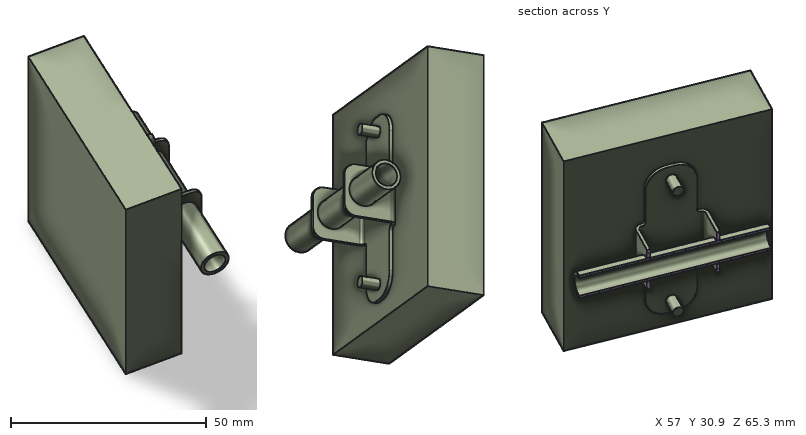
import cadquery as cq

block_width = 57.0
block_depth = 15.9
block_height = 65.3

total_depth = 30.9
sheet = 1.0
bracket_x = -0.6
bracket_z = -2.5
bracket_width = 20.05
bracket_reach = total_depth - block_depth
bend_outer_radius = 2 * sheet
bend_inner_radius = bend_outer_radius - sheet
ear_height = 14.0
ear_corner_radius = 3.0
plate_width = 14.05
plate_height = 50.05
plate_corner_radius = 6.0
relief_radius = (bracket_width - plate_width) / 2 - bend_outer_radius

pin_diameter = 3.0
pin_tip = 6.0
pin_spacing = 41.5

tube_diameter = 8.0
tube_bore = 6.0
tube_length = 52.4
tube_x = 1.75
tube_y = 9.75


def make_block():
    return cq.Workplane("XY").box(block_width, block_depth, block_height).translate((0, -block_depth / 2, 0))


def cylinder_along_x(diameter, length):
    return (
        cq.Workplane("YZ")
        .center(tube_y, bracket_z)
        .circle(diameter / 2)
        .extrude(length)
        .translate((tube_x - length / 2, 0, 0))
    )


def make_channel():
    """U-shaped strip whose two upright legs are the ears."""
    channel = (
        cq.Workplane("XY")
        .rect(bracket_width, 2 * bracket_reach)
        .extrude(ear_height / 2, both=True)
        .edges("|Z")
        .fillet(bend_outer_radius)
    )
    cavity = (
        cq.Workplane("XY")
        .rect(bracket_width - 2 * sheet, 2 * (bracket_reach - sheet))
        .extrude(ear_height / 2, both=True)
        .edges("|Z")
        .fillet(bend_inner_radius)
    )
    half = cq.Workplane("XY").box(
        bracket_width, bracket_reach, ear_height, centered=(True, False, True)
    )
    return channel.cut(cavity).translate((0, bracket_reach, 0)).intersect(half)


def make_plate():
    """Upright plate with rounded ends, blended into the web of the channel."""
    upright = (
        cq.Workplane("XY")
        .box(plate_width, sheet, plate_height)
        .edges("|Y")
        .fillet(plate_corner_radius)
    )
    web_width = plate_width + 2 * relief_radius
    web_height = ear_height + 2 * relief_radius
    web = cq.Workplane("XY").box(web_width, sheet, web_height)
    reliefs = (
        cq.Workplane("XZ")
        .rect(web_width, web_height, forConstruction=True)
        .vertices()
        .circle(relief_radius)
        .extrude(sheet / 2, both=True)
    )
    return upright.union(web.cut(reliefs)).translate((0, sheet / 2, 0))


def make_bracket():
    ears = make_channel().faces(">Y").edges("|X").fillet(ear_corner_radius)
    bracket = ears.union(make_plate())
    for side in (-1, 1):
        pin = (
            cq.Workplane("XZ")
            .center(0, side * pin_spacing / 2)
            .circle(pin_diameter / 2)
            .extrude(-pin_tip)
        )
        bracket = bracket.union(pin)
    bracket = bracket.translate((bracket_x, 0, bracket_z))
    return bracket.cut(cylinder_along_x(tube_diameter, tube_length))


def make_tube():
    return cylinder_along_x(tube_diameter, tube_length).cut(cylinder_along_x(tube_bore, tube_length))


block = make_block()
bracket = make_bracket()
tube = make_tube()

result = cq.Compound.makeCompound([block.val(), bracket.solids().val(), tube.solids().val()])